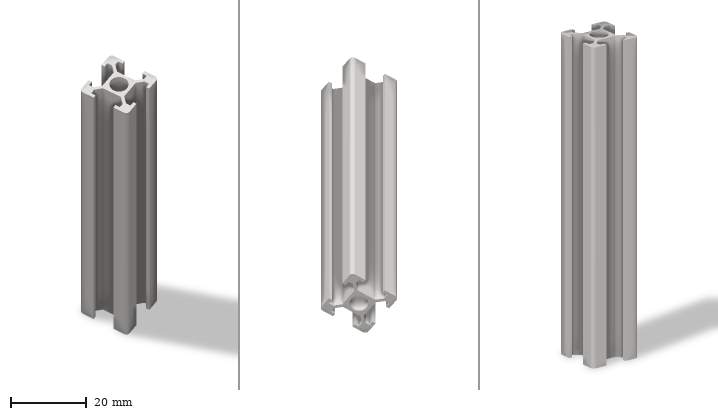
import cadquery as cq

length = 90.0
width = 15.0
slot_opening = 6.2
slot_inner_width = 9.0
lip_thickness = 1.0
core_width = 6.8
bore_diameter = 5.0
web_offset = 0.6
corner_radius = 1.1

half_width = width / 2
half_opening = slot_opening / 2
half_inner = slot_inner_width / 2
half_core = core_width / 2
lip_depth = half_width - lip_thickness


def square_bar():
    """Solid square bar with rounded long edges, standing on the XY plane."""
    bar = cq.Workplane("XY").rect(width, width).extrude(length)
    return bar.edges("|Z").fillet(corner_radius)


def t_slot():
    """Cutter for the slot on the +X side; its inner flanks run parallel to the diagonals."""
    upper_side = [
        (half_core, half_core - web_offset),
        (half_inner + web_offset, half_inner),
        (lip_depth, half_inner),
        (lip_depth, half_opening),
        (half_width, half_opening),
    ]
    lower_side = [(x, -y) for x, y in reversed(upper_side)]
    return cq.Workplane("XY").polyline(upper_side + lower_side).close().extrude(length)


profile = square_bar()
slot = t_slot()
for angle in (0, 90, 180, 270):
    profile = profile.cut(slot.rotate((0, 0, 0), (0, 0, 1), angle))

bore = cq.Workplane("XY").circle(bore_diameter / 2).extrude(length)
result = profile.cut(bore)